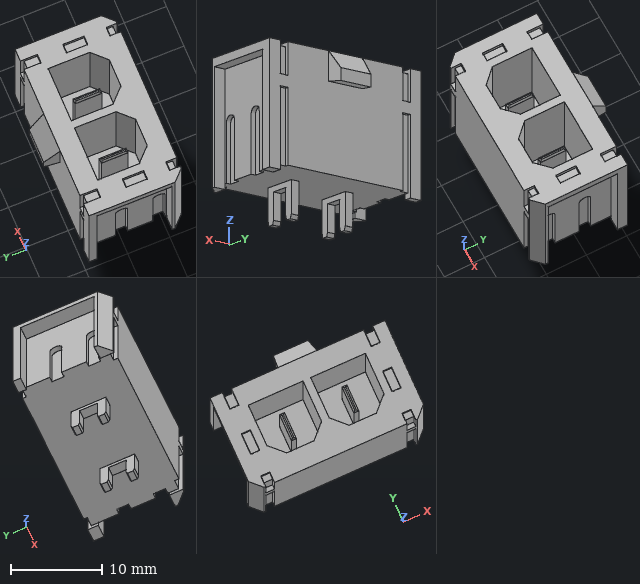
import cadquery as cq


WIDTH = 21.08
DEPTH = 11.53
BODY_HEIGHT = 14.15
LEG_HEIGHT = 14.82
LEG_WIDTH = 1.52
CORNER_CHAMFER = 1.29

RECESS_TOP = 1.05
RECESS_FRONT = 1.67
LEFT_RECESS_BACK = 0.97
RIGHT_RECESS_BACK = 1.29

GROOVE_WIDTH = 1.43
GROOVE_DEPTH = 0.6
GROOVE_TOP = 6.51
GROOVE_CENTERS_Y = (2.6, 7.02)

SLOT_WIDTH = 1.05
UPPER_SLOT_BOTTOM = 3.85
LOWER_SLOT_TOP = 5.25
FRONT_SLOT_DEPTH = 0.53
BACK_SLOT_DEPTH = 0.45
TOP_POCKET_DEPTH = 0.5
FRONT_POCKET_LENGTH = 1.29
BACK_POCKET_LENGTH = 2.02
MIDDLE_POCKET_START = 3.96
MIDDLE_POCKET_LENGTH = 2.49

PITCH = 7.5
CAVITY_SIZE = 6.58
CAVITY_FRONT = 2.47
CAVITY_CHAMFER = 1.65
CAVITY_DEPTH = 10.96

BLADE_THICKNESS = 0.6
BLADE_FRONT = 4.17
BLADE_LENGTH = 3.18
BLADE_TOP = 3.8
BLADE_TIP_BEVEL = 0.21
TAIL_WIDTH = 1.05
TAIL_FRONT = 3.16
TAIL_BACK = 7.35
PRONG_LENGTH = 1.03
TAIL_END = 18.57
PRONG_TIP_HEIGHT = 0.5
PRONG_TIP_TAPER = 0.17

LATCH_REACH = 1.85
LATCH_BASE_WIDTH = 4.72
LATCH_TIP_WIDTH = 4.17
LATCH_BASE_BOTTOM = 3.52
LATCH_TIP_TOP = 2.35
LATCH_TIP_BOTTOM = 3.82

LEG_INNER_X = WIDTH / 2 - LEG_WIDTH
CONTACT_CENTERS_X = (-PITCH / 2, PITCH / 2)


def box(x_range, y_range, z_range):
    """Axis-aligned box spanning the three (low, high) ranges."""
    (x0, x1), (y0, y1), (z0, z1) = x_range, y_range, z_range
    return cq.Workplane("XY").box(x1 - x0, y1 - y0, z1 - z0, centered=False).translate((x0, y0, z0))


def side_range(side, inner, outer):
    """X range between two distances from the middle, on the -X (-1) or +X (+1) side."""
    return tuple(sorted((side * inner, side * outer)))


def housing_block():
    block = box((-WIDTH / 2, WIDTH / 2), (0, DEPTH), (-LEG_HEIGHT, 0))
    block = block.edges("|Z and <Y").chamfer(CORNER_CHAMFER)
    underside = box((-LEG_INNER_X, LEG_INNER_X), (0, DEPTH), (-LEG_HEIGHT, -BODY_HEIGHT))
    return block.cut(underside)


def end_recess(side, back_leg):
    return box(
        side_range(side, LEG_INNER_X, WIDTH / 2),
        (RECESS_FRONT, DEPTH - back_leg),
        (-LEG_HEIGHT, -RECESS_TOP),
    )


def end_groove(side, center_y):
    x_range = side_range(side, LEG_INNER_X - GROOVE_DEPTH, LEG_INNER_X)
    radius = GROOVE_WIDTH / 2
    return (
        cq.Workplane("YZ", origin=(x_range[0], center_y, 0))
        .moveTo(-radius, -BODY_HEIGHT)
        .lineTo(-radius, -GROOVE_TOP - radius)
        .threePointArc((0, -GROOVE_TOP), (radius, -GROOVE_TOP - radius))
        .lineTo(radius, -BODY_HEIGHT)
        .close()
        .extrude(GROOVE_DEPTH)
    )


def corner_slots(side):
    """Upper and lower slots in the front and back faces, with the pockets in the top face."""
    x_range = side_range(side, LEG_INNER_X - SLOT_WIDTH, LEG_INNER_X)
    front_slot = (0, FRONT_SLOT_DEPTH)
    back_slot = (DEPTH - BACK_SLOT_DEPTH, DEPTH)
    upper = (-UPPER_SLOT_BOTTOM, 0)
    lower = (-BODY_HEIGHT, -LOWER_SLOT_TOP)
    pocket = (-TOP_POCKET_DEPTH, 0)

    cutter = box(x_range, (MIDDLE_POCKET_START, MIDDLE_POCKET_START + MIDDLE_POCKET_LENGTH), pocket)
    for y_range in (front_slot, back_slot):
        cutter = cutter.union(box(x_range, y_range, upper))
        cutter = cutter.union(box(x_range, y_range, lower))
    cutter = cutter.union(box(x_range, (0, FRONT_POCKET_LENGTH), pocket))
    return cutter.union(box(x_range, (DEPTH - BACK_POCKET_LENGTH, DEPTH), pocket))


def cavity(center_x):
    half = CAVITY_SIZE / 2
    hole = box(
        (center_x - half, center_x + half),
        (CAVITY_FRONT, CAVITY_FRONT + CAVITY_SIZE),
        (-CAVITY_DEPTH, 0),
    )
    return hole.edges("|Z and <Y").chamfer(CAVITY_CHAMFER)


def contact_blade(center_x):
    """Flat blade standing on the cavity floor, bevelled all round its tip."""
    half = BLADE_THICKNESS / 2
    blade = box(
        (center_x - half, center_x + half),
        (BLADE_FRONT, BLADE_FRONT + BLADE_LENGTH),
        (-BODY_HEIGHT, -BLADE_TOP),
    )
    return blade.faces(">Z").chamfer(BLADE_TIP_BEVEL)


def solder_tail(center_x):
    """Bridge under the body carrying two prongs with tapered tips."""
    half = TAIL_WIDTH / 2
    tail = box(
        (center_x - half, center_x + half),
        (TAIL_FRONT, TAIL_BACK),
        (-LEG_HEIGHT, -BODY_HEIGHT),
    )
    for front in (TAIL_FRONT, TAIL_BACK - PRONG_LENGTH):
        back = front + PRONG_LENGTH
        prong = (
            cq.Workplane("YZ", origin=(center_x - half, 0, 0))
            .polyline([
                (front, -LEG_HEIGHT),
                (front, -TAIL_END + PRONG_TIP_HEIGHT),
                (front + PRONG_TIP_TAPER, -TAIL_END),
                (back - PRONG_TIP_TAPER, -TAIL_END),
                (back, -TAIL_END + PRONG_TIP_HEIGHT),
                (back, -LEG_HEIGHT),
            ])
            .close()
            .extrude(TAIL_WIDTH)
        )
        tail = tail.union(prong)
    return tail


def latch():
    """Ramp on the back face, its sides tapering toward the tip."""
    half_base = LATCH_BASE_WIDTH / 2
    half_tip = LATCH_TIP_WIDTH / 2
    tip_y = DEPTH + LATCH_REACH
    profile = (
        cq.Workplane("YZ", origin=(-half_base, 0, 0))
        .polyline([
            (DEPTH, 0),
            (tip_y, -LATCH_TIP_TOP),
            (tip_y, -LATCH_TIP_BOTTOM),
            (DEPTH, -LATCH_BASE_BOTTOM),
        ])
        .close()
        .extrude(LATCH_BASE_WIDTH)
    )
    plan = (
        cq.Workplane("XY", origin=(0, 0, -LATCH_TIP_BOTTOM))
        .polyline([(-half_base, DEPTH), (half_base, DEPTH), (half_tip, tip_y), (-half_tip, tip_y)])
        .close()
        .extrude(LATCH_TIP_BOTTOM)
    )
    return profile.intersect(plan)


result = housing_block()
for side, back_leg in ((-1, LEFT_RECESS_BACK), (1, RIGHT_RECESS_BACK)):
    result = result.cut(end_recess(side, back_leg)).cut(corner_slots(side))
    for groove_y in GROOVE_CENTERS_Y:
        result = result.cut(end_groove(side, groove_y))

for contact_x in CONTACT_CENTERS_X:
    result = result.cut(cavity(contact_x))
    result = result.union(contact_blade(contact_x)).union(solder_tail(contact_x))

result = result.union(latch())